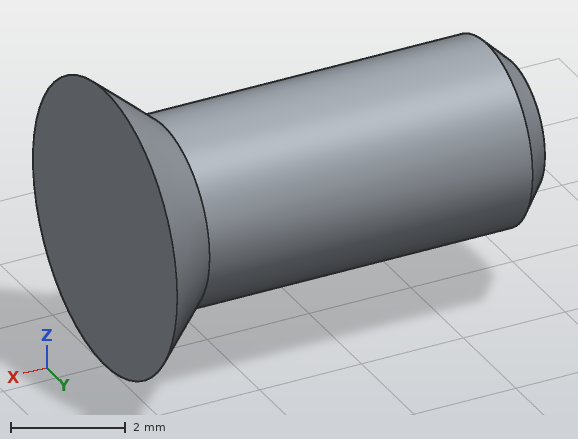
import cadquery as cq

total_length = 8.0
shank_diameter = 3.5
head_diameter = 5.5
head_length = 1.15
tip_chamfer = 0.5

shank_length = total_length - head_length
shank_radius = shank_diameter / 2
head_radius = head_diameter / 2

half_profile = (
    cq.Workplane("XY")
    .moveTo(0, 0)
    .lineTo(0, shank_radius - tip_chamfer)
    .lineTo(tip_chamfer, shank_radius)
    .lineTo(shank_length, shank_radius)
    .lineTo(total_length, head_radius)
    .lineTo(total_length, 0)
    .close()
)

result = half_profile.revolve(360, (0, 0, 0), (1, 0, 0))